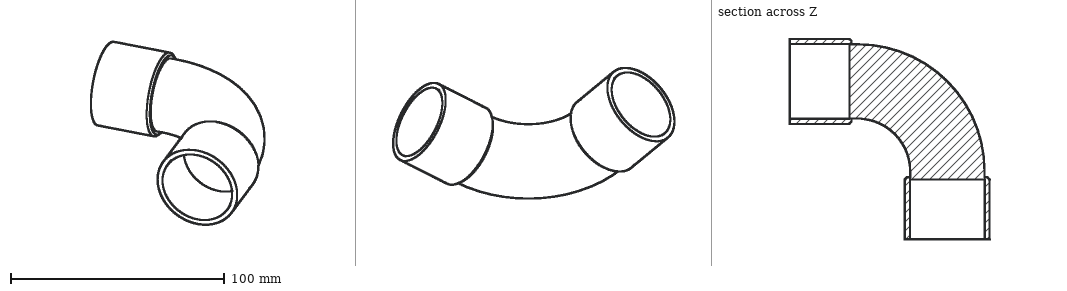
import cadquery as cq

overall_size = 94.0
socket_diameter = 40.0
pipe_diameter = 35.0
socket_length = 29.1
shoulder_chamfer = 1.1
straight_length = 2.8

socket_radius = socket_diameter / 2
pipe_radius = pipe_diameter / 2
bore_depth = socket_length - shoulder_chamfer
leg_length = overall_size - socket_radius
bend_radius = leg_length - socket_length - straight_length


def make_leg():
    """Socket and short straight pipe, open end at -X."""
    mouth = cq.Workplane("YZ", origin=(-leg_length, 0, 0))
    socket = mouth.circle(socket_radius).extrude(socket_length)
    socket = socket.faces(">X").edges().chamfer(shoulder_chamfer)
    pipe = mouth.circle(pipe_radius).extrude(socket_length + straight_length)
    bore = mouth.circle(pipe_radius).extrude(bore_depth)
    return socket.union(pipe).cut(bore)


def make_bend():
    """Solid quarter-turn pipe joining the two legs."""
    return (
        cq.Workplane("YZ", origin=(-bend_radius, 0, 0))
        .circle(pipe_radius)
        .revolve(90, (-bend_radius, 0, 0), (-bend_radius, -1, 0))
    )


left_leg = make_leg()
front_leg = left_leg.rotate((0, 0, 0), (0, 0, 1), 90)
result = left_leg.union(make_bend()).union(front_leg)